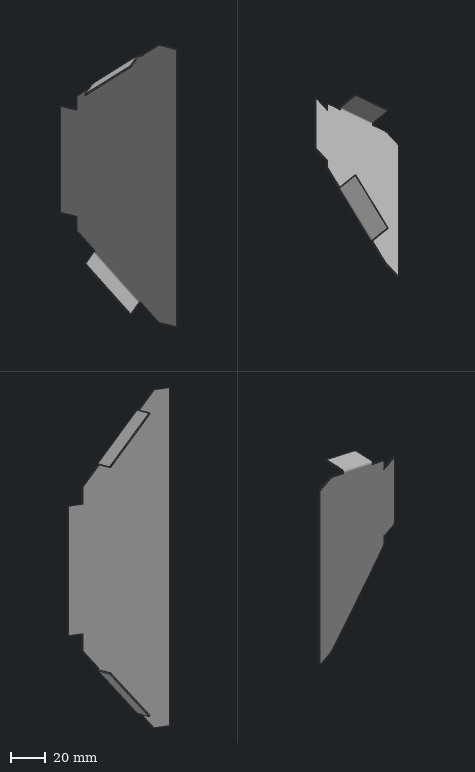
import cadquery as cq
import math

height = 198.0
width = 72.3
thickness = 0.8

tab_length = 10.0
tab_height = 76.0
left_edge_height = 95.8

flange_length = 40.0
flange_depth = 13.0
bend_inner_radius = 1.0
bend_outer_radius = bend_inner_radius + thickness

slope_rise = (height - left_edge_height) / 2
slope_end_x = tab_length + slope_rise
diagonal = math.sqrt(0.5)


def make_plate():
    """Flat plate with a tab on its left edge; its back face lies at Y = 0."""
    upper_half = [
        (0, 0),
        (0, tab_height / 2),
        (tab_length, tab_height / 2),
        (tab_length, left_edge_height / 2),
        (slope_end_x, height / 2),
        (width, height / 2),
        (width, 0),
    ]
    half = cq.Workplane("XZ").polyline(upper_half).close().extrude(thickness)
    return half.union(half.mirror("XY"))


def bend_arc_middle(radius):
    """Midpoint of a quarter-circle bend arc centred on the bend axis."""
    return (radius * diagonal, radius * diagonal - bend_outer_radius)


def make_upper_flange():
    """Flange bent toward -Y, centred along the upper sloping edge."""
    edge_middle_x = tab_length + slope_rise / 2
    edge_middle_z = left_edge_height / 2 + slope_rise / 2
    start_shift = flange_length / 2 * diagonal
    profile_plane = cq.Plane(
        origin=(edge_middle_x - start_shift, 0, edge_middle_z - start_shift),
        xDir=(-1, 0, 1),
        normal=(-1, 0, -1),
    )
    outer_arc_middle = bend_arc_middle(bend_outer_radius)
    inner_arc_middle = bend_arc_middle(bend_inner_radius)
    return (
        cq.Workplane(profile_plane)
        .moveTo(0, 0)
        .threePointArc(outer_arc_middle, (bend_outer_radius, -bend_outer_radius))
        .lineTo(bend_outer_radius, -flange_depth)
        .lineTo(bend_inner_radius, -flange_depth)
        .lineTo(bend_inner_radius, -bend_outer_radius)
        .threePointArc(inner_arc_middle, (0, -thickness))
        .close()
        .extrude(-flange_length)
    )


upper_flange = make_upper_flange()
lower_flange = upper_flange.mirror("XY")
result = make_plate().union(upper_flange).union(lower_flange)